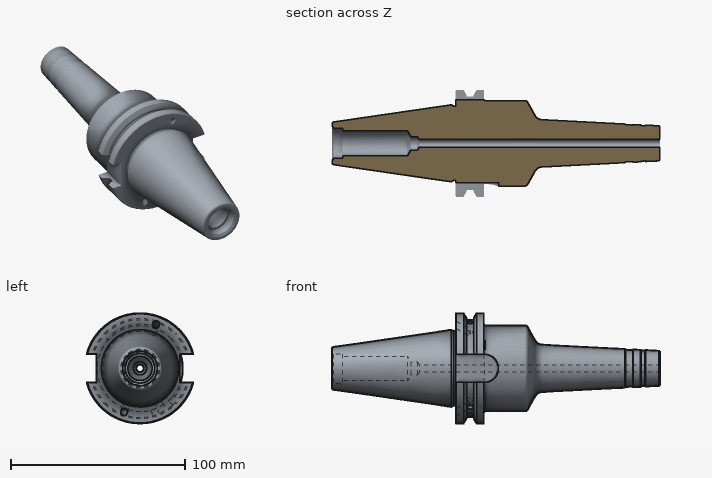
import cadquery as cq
import math

LENGTH = 188.2

GAUGE_X = 68.3
GAUGE_RADIUS = 22.2
TAPER_SLOPE = 7 / 48
SHANK_END_ROUND = 1.3
RELIEF_START = 69.8
RELIEF_RADIUS = 21.5

FLANGE_START = 71.0
FLANGE_END = 87.2
FLANGE_RADIUS = 63.5 / 2
FLANGE_CHAMFER = 0.4
GROOVE_CENTRE = 79.2
GROOVE_FLOOR_WIDTH = 4.0
GROOVE_MOUTH_WIDTH = 7.5
GROOVE_FLOOR_RADIUS = 28.0
GROOVE_WALL_HEIGHT = 0.8

BODY_RADIUS = 24.7
FLANGE_ROOT_FILLET = 1.0
BODY_END = 111.8
BODY_EDGE_ROUND = 2.0
SHOULDER_ANGLE = 61.0
NOSE_ROOT_ROUND = 4.3

NOSE_ANGLE = 3.0
NOSE_TIP_RADIUS = 10.2
NOSE_TIP_CHAMFER = 0.8
RECESS_DEPTH = 0.4
RECESS_RAMP = 0.5
NOSE_RECESSES = [(168.0, 173.0), (177.0, 180.1)]

SLOT_WIDTH = 16.2
SLOT_CENTRE_END = 87.3
FRONT_SLOT_FLOOR = 22.8
BACK_SLOT_FLOOR = 25.0

COUNTERBORE_RADIUS = 8.5
COUNTERBORE_DEPTH = 6.0
BORE_MOUTH_RADIUS = 10.0
BORE_MOUTH_ANGLE = 60.0
THREAD_BORE_RADIUS = 7.0
THREAD_BORE_END = 43.3
DRILL_TIP_ANGLE = 59.0
PASSAGE_ENTRY_RADIUS = 3.8
PASSAGE_ENTRY_LENGTH = 3.8
PASSAGE_RADIUS = 2.0

COOLANT_ROTATIONS = [20.0, 200.0]
EXTRA_RADIAL_ROTATIONS = [142.5, 161.0]
COOLANT_RADIUS = 1.9
COOLANT_ENTRY_RADIUS = 26.7
COOLANT_TILT = 30.0
RADIAL_HOLE_RADIUS = 1.9
RADIAL_HOLE_FLOOR = 22.2


def nose_radius(x):
    return NOSE_TIP_RADIUS + (LENGTH - x) * math.tan(math.radians(NOSE_ANGLE))


def revolve_about_x(outline):
    return outline.close().revolve(360, (0, 0, 0), (1, 0, 0))


def ring_at(x):
    """Select the circular edge whose plane is at station x."""
    tolerance = 0.02
    low_corner = (x - tolerance, -LENGTH, -LENGTH)
    high_corner = (x + tolerance, LENGTH, LENGTH)
    return cq.selectors.BoxSelector(low_corner, high_corner, boundingbox=True)


def make_shank():
    small_radius = GAUGE_RADIUS - GAUGE_X * TAPER_SLOPE
    outline = (
        cq.Workplane("XY")
        .lineTo(0, small_radius)
        .lineTo(GAUGE_X, GAUGE_RADIUS)
        .lineTo(RELIEF_START, RELIEF_RADIUS)
        .lineTo(FLANGE_START, RELIEF_RADIUS)
        .lineTo(FLANGE_START, 0)
    )
    return revolve_about_x(outline).faces("<X").edges().fillet(SHANK_END_ROUND)


def make_flange():
    half_floor = GROOVE_FLOOR_WIDTH / 2
    half_mouth = GROOVE_MOUTH_WIDTH / 2
    wall_top = GROOVE_FLOOR_RADIUS + GROOVE_WALL_HEIGHT
    outline = (
        cq.Workplane("XY")
        .moveTo(FLANGE_START, 0)
        .lineTo(FLANGE_START, FLANGE_RADIUS - FLANGE_CHAMFER)
        .lineTo(FLANGE_START + FLANGE_CHAMFER, FLANGE_RADIUS)
        .lineTo(GROOVE_CENTRE - half_mouth, FLANGE_RADIUS)
        .lineTo(GROOVE_CENTRE - half_floor, wall_top)
        .lineTo(GROOVE_CENTRE - half_floor, GROOVE_FLOOR_RADIUS)
        .lineTo(GROOVE_CENTRE + half_floor, GROOVE_FLOOR_RADIUS)
        .lineTo(GROOVE_CENTRE + half_floor, wall_top)
        .lineTo(GROOVE_CENTRE + half_mouth, FLANGE_RADIUS)
        .lineTo(FLANGE_END, FLANGE_RADIUS)
        .lineTo(FLANGE_END, 0)
    )
    return revolve_about_x(outline)


def make_body_and_nose():
    shoulder_slope = math.tan(math.radians(SHOULDER_ANGLE))
    nose_slope = math.tan(math.radians(NOSE_ANGLE))
    drop_to_nose = BODY_RADIUS - nose_radius(BODY_END)
    nose_start = BODY_END + drop_to_nose / (shoulder_slope - nose_slope)
    outline = (
        cq.Workplane("XY")
        .moveTo(FLANGE_END, 0)
        .lineTo(FLANGE_END, BODY_RADIUS)
        .lineTo(BODY_END, BODY_RADIUS)
        .lineTo(nose_start, nose_radius(nose_start))
        .lineTo(LENGTH, NOSE_TIP_RADIUS)
        .lineTo(LENGTH, 0)
    )
    body = revolve_about_x(outline)
    body = body.faces(">X").edges().chamfer(NOSE_TIP_CHAMFER)
    body = body.edges(ring_at(BODY_END)).fillet(BODY_EDGE_ROUND)
    return body.edges(ring_at(nose_start)).fillet(NOSE_ROOT_ROUND)


def make_flange_root_fillet():
    outline = (
        cq.Workplane("XY")
        .moveTo(FLANGE_END, 0)
        .lineTo(FLANGE_END, BODY_RADIUS + FLANGE_ROOT_FILLET)
        .radiusArc((FLANGE_END + FLANGE_ROOT_FILLET, BODY_RADIUS), -FLANGE_ROOT_FILLET)
        .lineTo(FLANGE_END + FLANGE_ROOT_FILLET, 0)
    )
    return revolve_about_x(outline)


def make_nose_recess(start, end):
    ramp_start = start + RECESS_RAMP
    ramp_end = end - RECESS_RAMP
    outline = (
        cq.Workplane("XY")
        .moveTo(start, nose_radius(start))
        .lineTo(ramp_start, nose_radius(ramp_start) - RECESS_DEPTH)
        .lineTo(ramp_end, nose_radius(ramp_end) - RECESS_DEPTH)
        .lineTo(end, nose_radius(end))
        .lineTo(end, BODY_RADIUS)
        .lineTo(start, BODY_RADIUS)
    )
    return revolve_about_x(outline)


def make_drive_slot(side, floor):
    """Round-ended slot cutter; side is -1 for the -Y slot and +1 for the +Y slot."""
    slot_start = FLANGE_START - SLOT_WIDTH
    straight = SLOT_CENTRE_END - slot_start
    cutter = (
        cq.Workplane("XZ", origin=(slot_start, side * floor, 0))
        .rect(straight, SLOT_WIDTH, centered=(False, True))
        .extrude(-side * FLANGE_RADIUS)
    )
    round_end = (
        cq.Workplane("XZ", origin=(SLOT_CENTRE_END, side * floor, 0))
        .circle(SLOT_WIDTH / 2)
        .extrude(-side * FLANGE_RADIUS)
    )
    return cutter.union(round_end)


def cone_length(large_radius, small_radius, half_angle):
    return (large_radius - small_radius) / math.tan(math.radians(half_angle))


def make_bore():
    mouth_end = cone_length(BORE_MOUTH_RADIUS, COUNTERBORE_RADIUS, BORE_MOUTH_ANGLE)
    drill_end = THREAD_BORE_END + cone_length(THREAD_BORE_RADIUS, PASSAGE_ENTRY_RADIUS, DRILL_TIP_ANGLE)
    entry_end = drill_end + PASSAGE_ENTRY_LENGTH
    passage_start = entry_end + cone_length(PASSAGE_ENTRY_RADIUS, PASSAGE_RADIUS, DRILL_TIP_ANGLE)
    outline = (
        cq.Workplane("XY")
        .lineTo(0, BORE_MOUTH_RADIUS)
        .lineTo(mouth_end, COUNTERBORE_RADIUS)
        .lineTo(COUNTERBORE_DEPTH, COUNTERBORE_RADIUS)
        .lineTo(COUNTERBORE_DEPTH, THREAD_BORE_RADIUS)
        .lineTo(THREAD_BORE_END, THREAD_BORE_RADIUS)
        .lineTo(drill_end, PASSAGE_ENTRY_RADIUS)
        .lineTo(entry_end, PASSAGE_ENTRY_RADIUS)
        .lineTo(passage_start, PASSAGE_RADIUS)
        .lineTo(LENGTH, PASSAGE_RADIUS)
        .lineTo(LENGTH, 0)
    )
    return revolve_about_x(outline)


def make_radial_hole():
    return (
        cq.Workplane("XY", origin=(GROOVE_CENTRE, 0, RADIAL_HOLE_FLOOR))
        .circle(RADIAL_HOLE_RADIUS)
        .extrude(FLANGE_RADIUS - RADIAL_HOLE_FLOOR)
    )


def make_coolant_hole():
    """Hole slanting inward from the flange face to the bottom of a radial hole in the groove."""
    tilt = math.radians(COOLANT_TILT)
    direction = cq.Vector(math.cos(tilt), 0, -math.sin(tilt))
    run_in = 2 * COOLANT_RADIUS
    entry = cq.Vector(FLANGE_START, 0, COOLANT_ENTRY_RADIUS)
    length = run_in + (GROOVE_CENTRE - FLANGE_START) / math.cos(tilt)
    slanted = cq.Solid.makeCylinder(COOLANT_RADIUS, length, entry - direction * run_in, direction)
    return make_radial_hole().union(cq.Workplane(slanted))


def turned(hole, rotation):
    return hole.rotate((0, 0, 0), (1, 0, 0), rotation)


result = (
    make_shank()
    .union(make_flange())
    .union(make_body_and_nose())
    .union(make_flange_root_fillet())
)
for recess_start, recess_end in NOSE_RECESSES:
    result = result.cut(make_nose_recess(recess_start, recess_end))

result = result.cut(make_drive_slot(-1, FRONT_SLOT_FLOOR))
result = result.cut(make_drive_slot(1, BACK_SLOT_FLOOR))
result = result.cut(make_bore())

for rotation in COOLANT_ROTATIONS:
    result = result.cut(turned(make_coolant_hole(), rotation))
for rotation in EXTRA_RADIAL_ROTATIONS:
    result = result.cut(turned(make_radial_hole(), rotation))